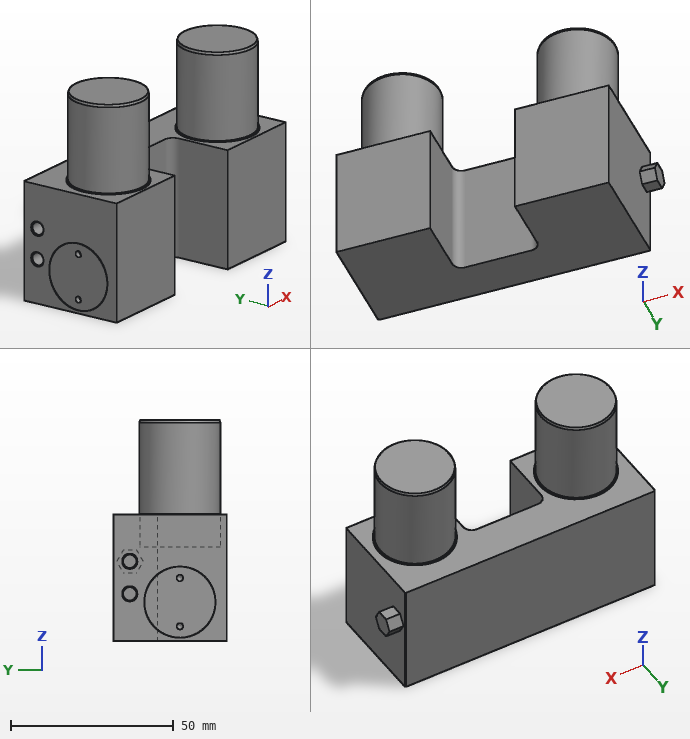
import cadquery as cq
import math

OVERALL_LENGTH = 95.1
BLOCK_LENGTH = 90.1
BLOCK_DEPTH = 35.0
BLOCK_HEIGHT = 39.0
BACK_EDGE_CHAMFER = 0.3

SLOT_START_X = 31.0
SLOT_WIDTH = 28.1
SLOT_DEPTH = 21.4
SLOT_CORNER_RADIUS = 3.0

PISTON_DIAMETER = 25.0
PISTON_SHANK_DIAMETER = 24.8
PISTON_SHOULDER_Z = BLOCK_HEIGHT + 0.1
PISTON_TOP = 68.0
PISTON_TOP_BEVEL_WIDTH = 0.3
PISTON_TOP_BEVEL_HEIGHT = 0.9
PISTON_FIRST_X = 16.1
PISTON_SPACING = 58.0
PISTON_Y = 14.5
BORE_DIAMETER = PISTON_SHANK_DIAMETER
BORE_DEPTH = 10.0
BORE_MOUTH_DIAMETER = 26.0
BORE_MOUTH_DEPTH = 0.2
PISTON_COUNT = 2
PISTON_CENTERS = [(PISTON_FIRST_X + i * PISTON_SPACING, PISTON_Y) for i in range(PISTON_COUNT)]

COVER_DIAMETER = 22.0
COVER_FACE_DIAMETER = 21.8
COVER_RIM_STEP = 0.1
COVER_THICKNESS = 5.0
COVER_Y = PISTON_Y
COVER_Z = 12.0
SPANNER_HOLE_DIAMETER = 2.0
SPANNER_HOLE_SPACING = 14.8
SPANNER_HOLE_DEPTH = 2.0
DRILL_POINT_ANGLE = 118.0

PORT_DIAMETER = 4.1
PORT_MOUTH_DIAMETER = 4.8
PORT_DEPTH = 10.0
PORT_Y = BLOCK_DEPTH - 5.1
PORT_B_Z = 24.5
PORT_SPACING = 10.0

HEX_SIDES = 6
HEX_ACROSS_FLATS = 7.0
HEX_LENGTH = OVERALL_LENGTH - BLOCK_LENGTH


def cylinder_along_x(diameter, length, y, z):
    """Solid cylinder that starts on the -X face and runs in +X."""
    return cq.Workplane("YZ").center(y, z).circle(diameter / 2).extrude(length)


def cone_along_x(diameter, end_diameter, start_x, length, y, z):
    """Solid cone, or cone frustum, that narrows in +X."""
    axis = cq.Vector(1, 0, 0)
    cone = cq.Solid.makeCone(diameter / 2, end_diameter / 2, length, cq.Vector(start_x, y, z), axis)
    return cq.Workplane(obj=cone)


def make_block():
    """Rectangular block with the rounded slot cut into its front."""
    block = cq.Workplane().box(BLOCK_LENGTH, BLOCK_DEPTH, BLOCK_HEIGHT, centered=False)
    block = block.edges("|Z and >Y").chamfer(BACK_EDGE_CHAMFER)
    slot = (
        cq.Workplane()
        .box(SLOT_WIDTH, SLOT_DEPTH, BLOCK_HEIGHT, centered=False)
        .edges("|Z and >Y")
        .fillet(SLOT_CORNER_RADIUS)
        .translate((SLOT_START_X, 0, 0))
    )
    return block.cut(slot)


def make_bores():
    """Blind piston bores with a shallow flat counterbore at the mouth."""
    return (
        cq.Workplane(origin=(0, 0, BLOCK_HEIGHT))
        .pushPoints(PISTON_CENTERS)
        .circle(BORE_DIAMETER / 2)
        .extrude(-BORE_DEPTH)
        .pushPoints(PISTON_CENTERS)
        .circle(BORE_MOUTH_DIAMETER / 2)
        .extrude(-BORE_MOUTH_DEPTH)
    )


def make_port(z):
    """Flat-bottomed port with a 45 degree countersink."""
    sink_depth = (PORT_MOUTH_DIAMETER - PORT_DIAMETER) / 2
    bore = cylinder_along_x(PORT_DIAMETER, PORT_DEPTH, PORT_Y, z)
    return bore.union(cone_along_x(PORT_MOUTH_DIAMETER, PORT_DIAMETER, 0, sink_depth, PORT_Y, z))


def make_hex_head():
    """Hexagonal head with its corners pointing along Y."""
    across_corners = HEX_ACROSS_FLATS / math.cos(math.pi / HEX_SIDES)
    return (
        cq.Workplane("YZ", origin=(BLOCK_LENGTH, PORT_Y, PORT_B_Z))
        .polygon(HEX_SIDES, across_corners)
        .extrude(HEX_LENGTH)
    )


def make_housing():
    """Block with its bores, cover recess, ports and hexagonal head."""
    housing = make_block().cut(make_bores())
    housing = housing.cut(cylinder_along_x(COVER_DIAMETER, COVER_THICKNESS, COVER_Y, COVER_Z))
    for port_z in (PORT_B_Z, PORT_B_Z - PORT_SPACING):
        housing = housing.cut(make_port(port_z))
    return housing.union(make_hex_head())


def make_piston(x, y):
    """Piston with a slightly thinner shank in its bore and a steep bevel round the top."""
    radius = PISTON_DIAMETER / 2
    floor = BLOCK_HEIGHT - BORE_DEPTH
    half_profile = [
        (0, floor),
        (PISTON_SHANK_DIAMETER / 2, floor),
        (PISTON_SHANK_DIAMETER / 2, PISTON_SHOULDER_Z),
        (radius, PISTON_SHOULDER_Z),
        (radius, PISTON_TOP - PISTON_TOP_BEVEL_HEIGHT),
        (radius - PISTON_TOP_BEVEL_WIDTH, PISTON_TOP),
        (0, PISTON_TOP),
    ]
    return cq.Workplane("XZ").polyline(half_profile).close().revolve().translate((x, y, 0))


def make_cover():
    """Round cover with a fine step round its outer face and two spanner holes."""
    cover = cylinder_along_x(COVER_DIAMETER, COVER_THICKNESS, COVER_Y, COVER_Z)
    rim = cylinder_along_x(COVER_DIAMETER, COVER_RIM_STEP, COVER_Y, COVER_Z)
    face = cylinder_along_x(COVER_FACE_DIAMETER, COVER_RIM_STEP, COVER_Y, COVER_Z)
    cover = cover.cut(rim.cut(face))
    point_length = SPANNER_HOLE_DIAMETER / 2 / math.tan(math.radians(DRILL_POINT_ANGLE / 2))
    for side in (-1, 1):
        z = COVER_Z + side * SPANNER_HOLE_SPACING / 2
        hole = cylinder_along_x(SPANNER_HOLE_DIAMETER, SPANNER_HOLE_DEPTH, COVER_Y, z)
        point = cone_along_x(SPANNER_HOLE_DIAMETER, 0, SPANNER_HOLE_DEPTH, point_length, COVER_Y, z)
        cover = cover.cut(hole).cut(point)
    return cover


housing = make_housing()
pistons = [make_piston(x, y) for x, y in PISTON_CENTERS]
cover = make_cover()

result = cq.Compound.makeCompound([housing.val(), *[piston.val() for piston in pistons], cover.val()])